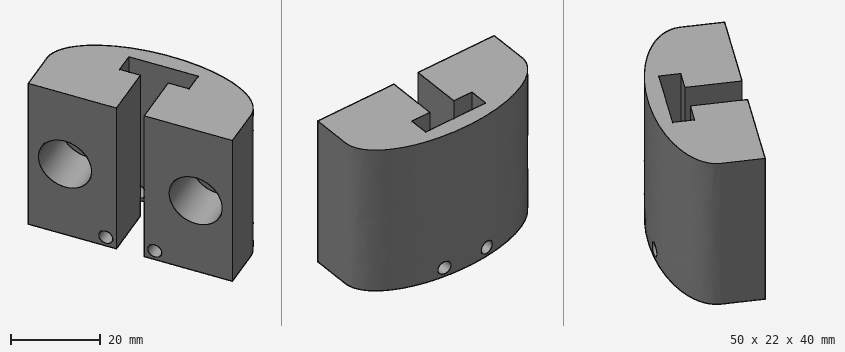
import cadquery as cq

width = 50.0
depth = 22.0
height = 40.0
straight_side = 10.0

neck_width = 6.8
neck_depth = 13.0
head_width = 17.0
head_depth = 5.0

blind_hole_diameter = 13.0
blind_hole_depth = 12.0
blind_hole_spacing = 32.0

through_hole_diameter = 3.4
through_hole_spacing = 12.0
through_hole_height = 2.5


def make_body():
    """Flat-fronted block whose back is half an ellipse, front face at Y = 0."""
    half_width = width / 2
    dome_depth = depth - straight_side
    straight_block = cq.Workplane("XY").rect(width, straight_side).extrude(height)
    straight_block = straight_block.translate((0, straight_side / 2, 0))
    dome = (
        cq.Workplane("XY")
        .moveTo(half_width, straight_side)
        .ellipseArc(half_width, dome_depth, 0, 180, startAtCurrent=True)
        .close()
        .extrude(height)
    )
    return straight_block.union(dome)


def make_t_slot():
    """Cutter for the narrow neck and the wider head behind it."""
    neck = cq.Workplane("XY").rect(neck_width, neck_depth).extrude(height)
    neck = neck.translate((0, neck_depth / 2, 0))
    head = cq.Workplane("XY").rect(head_width, head_depth).extrude(height)
    head = head.translate((0, neck_depth + head_depth / 2, 0))
    return neck.union(head)


def make_hole_pair(diameter, hole_depth, spacing, center_height):
    """Cutter for two holes into the front face, mirrored about X = 0."""
    centers = [(-spacing / 2, center_height), (spacing / 2, center_height)]
    return cq.Workplane("XZ").pushPoints(centers).circle(diameter / 2).extrude(-hole_depth)


blind_holes = make_hole_pair(blind_hole_diameter, blind_hole_depth, blind_hole_spacing, height / 2)
through_holes = make_hole_pair(through_hole_diameter, depth, through_hole_spacing, through_hole_height)

result = make_body().cut(make_t_slot()).cut(blind_holes).cut(through_holes)